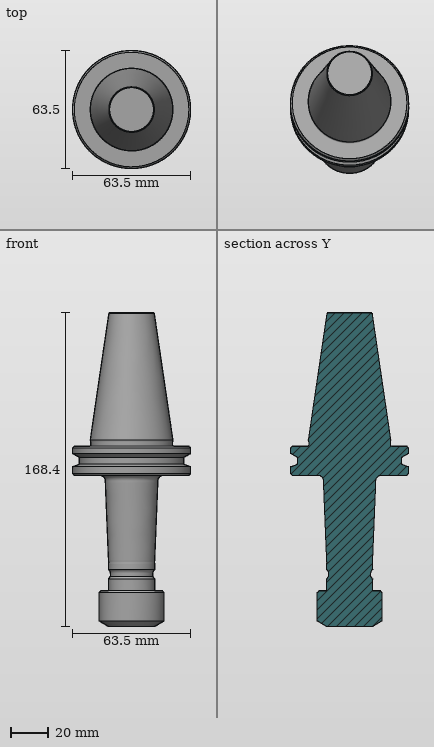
import cadquery as cq
import math

total_height = 168.4
taper_length = 68.4
gauge_line = total_height - taper_length
flange_top = 96.8
flange_bottom = 81.0
groove_middle = 89.3
shank_top = 77.1
shank_bottom = 35.5
neck_top = 30.5
neck_bottom = 25.5
nut_top = 19.2

taper_radius = 22.2
taper_slope = 7 / 48
taper_end_radius = taper_radius - taper_length * taper_slope
taper_end_chamfer = 0.5
gauge_band = 1.0
collar_step = 0.2
collar_radius = taper_radius - collar_step
collar_fillet = 0.5

flange_radius = 31.75
flange_chamfer = 1.0
groove_radius = 28.1
groove_width = 7.0
groove_upper_flank_height = 2.0
groove_lower_flank_height = 1.3

shank_radius = 14.1
shank_fillet = 2.9
collet_radius = 12.5
notch_half_width = 1.0
notch_depth = 0.08
neck_radius = 11.5
neck_chamfer = 1.5
neck_fillet_height = 2.0
neck_fillet_radius = 2.5
nut_radius = 17.5
nut_chamfer = 1.0
nose_radius = 12.5
nose_height = 3.0

groove_top = groove_middle + groove_width / 2
groove_bottom = groove_middle - groove_width / 2
fillet_end = flange_bottom - shank_fillet
diagonal = math.sqrt(0.5)
fillet_middle = (
    shank_radius + shank_fillet * (1 - diagonal),
    flange_bottom - shank_fillet * (1 - diagonal),
)
collar_fillet_middle = (
    collar_radius + collar_fillet * (1 - diagonal),
    flange_top + collar_fillet * (1 - diagonal),
)

profile = (
    cq.Workplane("XZ")
    .moveTo(0, 0)
    .lineTo(nose_radius, 0)
    .lineTo(nut_radius, nose_height)
    .lineTo(nut_radius, nut_top - nut_chamfer)
    .lineTo(nut_radius - nut_chamfer, nut_top)
    .lineTo(collet_radius, nut_top)
    .lineTo(collet_radius, neck_bottom)
    .lineTo(neck_radius, neck_bottom + neck_chamfer)
    .lineTo(neck_radius, neck_top - neck_fillet_height)
    .radiusArc((collet_radius, neck_top), neck_fillet_radius)
    .lineTo(collet_radius, shank_bottom - 2 * notch_half_width)
    .lineTo(collet_radius - notch_depth, shank_bottom - notch_half_width)
    .lineTo(collet_radius, shank_bottom)
    .lineTo(shank_radius, shank_top)
    .lineTo(shank_radius, fillet_end)
    .threePointArc(fillet_middle, (shank_radius + shank_fillet, flange_bottom))
    .lineTo(flange_radius - flange_chamfer, flange_bottom)
    .lineTo(flange_radius, flange_bottom + flange_chamfer)
    .lineTo(flange_radius, groove_bottom)
    .lineTo(groove_radius, groove_bottom + groove_lower_flank_height)
    .lineTo(groove_radius, groove_top - groove_upper_flank_height)
    .lineTo(flange_radius, groove_top)
    .lineTo(flange_radius, flange_top - flange_chamfer)
    .lineTo(flange_radius - flange_chamfer, flange_top)
    .lineTo(collar_radius + collar_fillet, flange_top)
    .threePointArc(collar_fillet_middle, (collar_radius, flange_top + collar_fillet))
    .lineTo(collar_radius, gauge_line - gauge_band)
    .lineTo(taper_radius, gauge_line)
    .lineTo(taper_end_radius, total_height - taper_end_chamfer)
    .lineTo(taper_end_radius - taper_end_chamfer, total_height)
    .lineTo(0, total_height)
    .close()
)

result = profile.revolve(360, (0, 0, 0), (0, 1, 0))